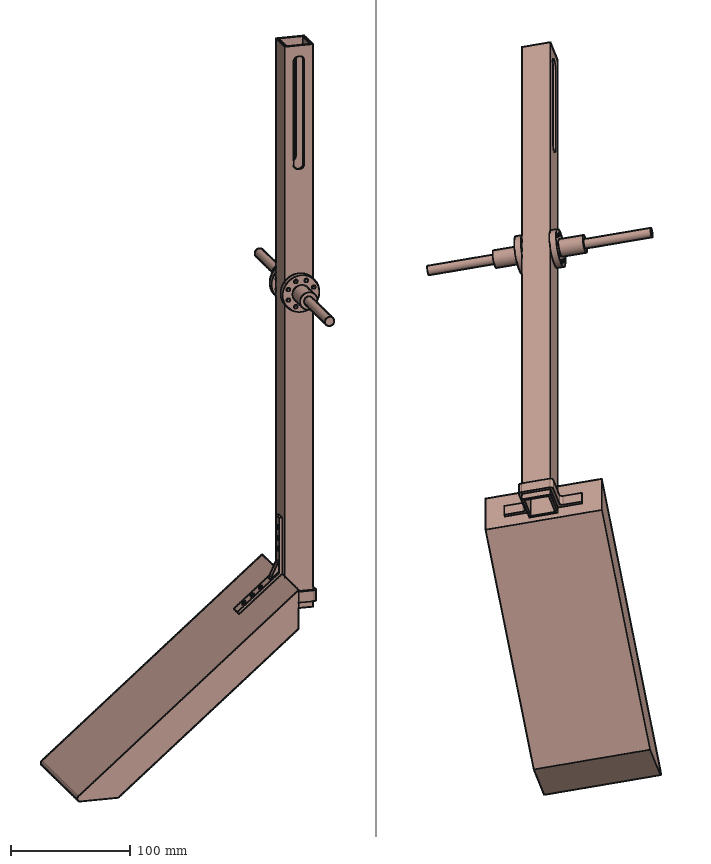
import cadquery as cq
import math


OVERALL_HEIGHT = 634.5

TUBE_SIDE = 25.0
TUBE_WALL = 2.0
TUBE_LENGTH = 496.0
TUBE_FRONT = -TUBE_SIDE / 2
SLOT_WIDTH = 9.5
SLOT_LENGTH = 99.5
SLOT_END_GAP = 9.5

ROD_LENGTH = 193.5
ROD_DIAMETER = 8.0
ROD_HEIGHT = 279.0
FLANGE_DIAMETER = 32.5
FLANGE_THICKNESS = 6.0
HUB_DIAMETER = 15.0
HUB_LENGTH = 21.0
FLANGE_HOLE_COUNT = 8
FLANGE_HOLE_DIAMETER = 3.0
FLANGE_HOLE_CIRCLE = 24.0

BLADE_WIDTH = 101.0
BLADE_SLOPE = 40.0
BLADE_TOP = 29.0
BLADE_BACK_HEIGHT = 34.0
BLADE_BOTTOM = TUBE_LENGTH - OVERALL_HEIGHT
BLADE_REACH = 195.0

BRACE_WIDTH = 9.5
BRACE_THICKNESS = 2.5
BRACE_LEG = 49.5
BRACE_HOLE_DIAMETER = 4.0
BRACE_HOLE_PITCH = 9.5
BRACE_END_GAP = 9.5
BRACE_HOLE_COUNT = 3
RIB_WIDTH = 6.0
RIB_LEG = 9.5

STRAP_HEIGHT = 9.5
STRAP_BOTTOM = 6.0
STRAP_THICKNESS = 2.5
STRAP_SPAN = 67.0
STRAP_BEND = 2.5


def rod_cylinder(diameter, length, start_x):
    """Cylinder along X on the rod axis, from start_x towards +X."""
    return (
        cq.Workplane("YZ", origin=(start_x, 0, ROD_HEIGHT))
        .circle(diameter / 2)
        .extrude(length)
    )


def make_tube():
    """Square tube with a long slot near the top and a cross hole for the rod."""
    tube = (
        cq.Workplane("XY")
        .rect(TUBE_SIDE, TUBE_SIDE)
        .rect(TUBE_SIDE - 2 * TUBE_WALL, TUBE_SIDE - 2 * TUBE_WALL)
        .extrude(TUBE_LENGTH)
    )
    slot_centre = TUBE_LENGTH - SLOT_END_GAP - SLOT_LENGTH / 2
    slot = (
        cq.Workplane("YZ", origin=(0, 0, slot_centre))
        .slot2D(SLOT_LENGTH, SLOT_WIDTH, 90)
        .extrude(TUBE_SIDE, both=True)
    )
    return tube.cut(slot).cut(make_rod())


def make_rod():
    return rod_cylinder(ROD_DIAMETER, ROD_LENGTH, -ROD_LENGTH / 2)


def make_hub(side):
    """Flanged hub against one side of the tube: side is 1 for +X and -1 for -X."""
    flange_x = TUBE_SIDE / 2
    hub = (
        rod_cylinder(FLANGE_DIAMETER, FLANGE_THICKNESS, flange_x)
        .union(rod_cylinder(HUB_DIAMETER, HUB_LENGTH, flange_x + FLANGE_THICKNESS))
        .cut(make_rod())
    )
    half_step = 180 / FLANGE_HOLE_COUNT
    holes = (
        cq.Workplane("YZ", origin=(flange_x, 0, ROD_HEIGHT))
        .polarArray(FLANGE_HOLE_CIRCLE / 2, half_step, 360, FLANGE_HOLE_COUNT)
        .circle(FLANGE_HOLE_DIAMETER / 2)
        .extrude(FLANGE_THICKNESS)
    )
    hub = hub.cut(holes)
    if side < 0:
        hub = hub.mirror("YZ")
    return hub


def make_blade():
    """Sloping blade with an upright back, a level lower end and a rounded front edge."""
    drop_rate = math.tan(math.radians(BLADE_SLOPE))
    tip_y = TUBE_FRONT - BLADE_REACH
    back_bottom = BLADE_TOP - BLADE_BACK_HEIGHT
    heel_y = TUBE_FRONT - (back_bottom - BLADE_BOTTOM) / drop_rate
    sharp_y = TUBE_FRONT - (BLADE_TOP - BLADE_BOTTOM) / drop_rate
    nose_radius = (tip_y - sharp_y) / (1 / math.tan(math.radians(BLADE_SLOPE / 2)) - 1)
    outline = [
        (TUBE_FRONT, BLADE_TOP),
        (sharp_y, BLADE_BOTTOM),
        (heel_y, BLADE_BOTTOM),
        (TUBE_FRONT, back_bottom),
    ]
    blade = cq.Workplane("YZ").polyline(outline).close().extrude(BLADE_WIDTH / 2, both=True)
    return blade.edges("|X and <Y").fillet(nose_radius)


def make_brace():
    """Two drilled leaves, one on the tube and one on the blade, with a rib across the corner."""
    slope = math.radians(BLADE_SLOPE)
    corner = cq.Vector(0, TUBE_FRONT, BLADE_TOP)
    up_tube = cq.Vector(0, 0, 1)
    down_blade = cq.Vector(0, -math.cos(slope), -math.sin(slope))
    off_tube = cq.Vector(0, -1, 0)
    off_blade = cq.Vector(0, -math.sin(slope), math.cos(slope))

    bend_angle = math.pi / 2 - slope
    bend_shift = BRACE_THICKNESS * math.tan(bend_angle / 2)
    inner_corner = corner + off_tube * BRACE_THICKNESS + up_tube * bend_shift
    outline = [
        corner,
        corner + up_tube * BRACE_LEG,
        corner + up_tube * BRACE_LEG + off_tube * BRACE_THICKNESS,
        inner_corner,
        corner + down_blade * BRACE_LEG + off_blade * BRACE_THICKNESS,
        corner + down_blade * BRACE_LEG,
    ]
    rib_outline = [
        inner_corner,
        inner_corner + up_tube * RIB_LEG,
        inner_corner + down_blade * RIB_LEG,
    ]

    def prism(points, width):
        flat = [(p.y, p.z) for p in points]
        return cq.Workplane("YZ").polyline(flat).close().extrude(width / 2, both=True)

    brace = prism(outline, BRACE_WIDTH).union(prism(rib_outline, RIB_WIDTH))
    for along, normal in ((up_tube, off_tube), (down_blade, off_blade)):
        for i in range(BRACE_HOLE_COUNT):
            centre = corner + along * (BRACE_LEG - BRACE_END_GAP - i * BRACE_HOLE_PITCH)
            hole = cq.Solid.makeCylinder(
                BRACE_HOLE_DIAMETER / 2, BRACE_THICKNESS, centre, normal
            )
            brace = brace.cut(cq.Workplane(hole))
    return brace


def make_strap():
    """Strip bent around the back of the tube, with a wing on each side against the blade."""

    def block(x_size, y_min, y_max):
        return (
            cq.Workplane("XY", origin=(0, (y_min + y_max) / 2, STRAP_BOTTOM))
            .rect(x_size, y_max - y_min)
            .extrude(STRAP_HEIGHT)
        )

    loop_width = TUBE_SIDE + 2 * STRAP_THICKNESS
    loop = block(loop_width, TUBE_FRONT, TUBE_SIDE / 2 + STRAP_THICKNESS)
    loop = loop.edges("|Z and >Y").fillet(STRAP_BEND)
    wings = block(STRAP_SPAN, TUBE_FRONT, TUBE_FRONT + STRAP_THICKNESS)
    tube_space = block(TUBE_SIDE, TUBE_FRONT, TUBE_SIDE / 2)
    outside = loop.union(wings)
    inner_corners = cq.selectors.BoxSelector(
        (-loop_width / 2 - STRAP_BEND, TUBE_FRONT + STRAP_THICKNESS / 2, 0),
        (loop_width / 2 + STRAP_BEND, 0, STRAP_BOTTOM + STRAP_HEIGHT),
    )
    outside = outside.edges("|Z").edges(inner_corners).fillet(STRAP_BEND)
    return outside.cut(tube_space)


tube = make_tube()
rod = make_rod()
hubs = [make_hub(side) for side in (-1, 1)]
blade = make_blade()
brace = make_brace()
strap = make_strap()

result = cq.Compound.makeCompound(
    [tube.val(), rod.val(), *[hub.val() for hub in hubs], blade.val(), brace.val(), strap.val()]
)